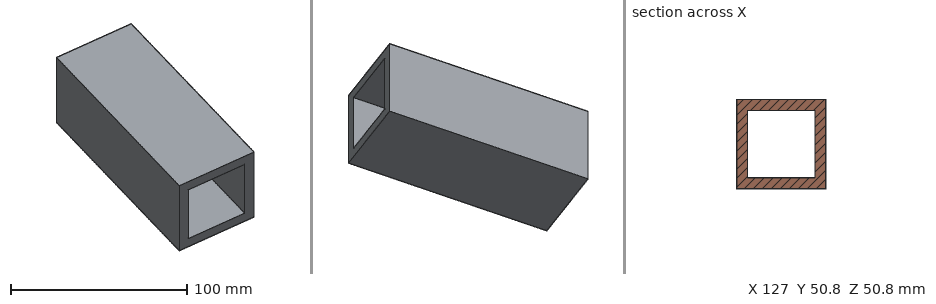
import cadquery as cq

length = 127.0
outer_side = 50.8
wall = 6.4
inner_side = outer_side - 2 * wall

outer_block = cq.Workplane("XY").box(length, outer_side, outer_side)
bore = cq.Workplane("XY").box(length, inner_side, inner_side)

result = outer_block.cut(bore)